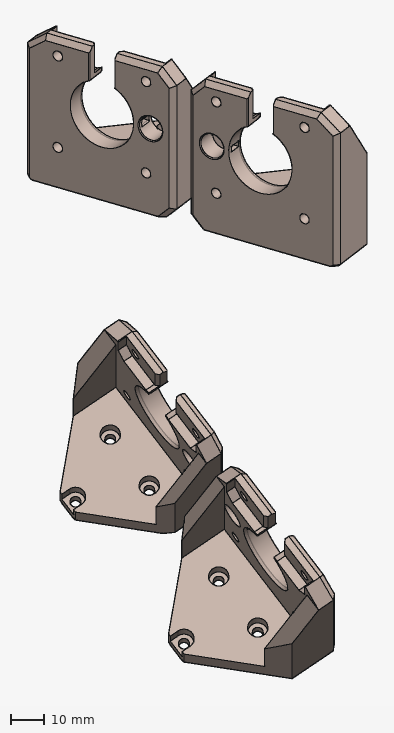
import cadquery as cq
import math

HEIGHT = 50.5
DEPTH = 40.0
PLAIN_SIDE = 27.1
ROD_SIDE = 25.3
GAP = 5.1

BASE_THICKNESS = 8.0
BASE_TIP_HALF_WIDTH = 4.0
SIDE_UNDER_CHAMFER = 0.9
FRONT_UNDER_CHAMFER = 0.3

PLATE_THICKNESS = 7.0
FRONT_CHAMFER = 1.6
CORNER = 5.1
LOWER_CORNER = 3.5
PLAIN_CORNER_WIDTH = 6.8

MOTOR_BAY_HALF_WIDTH = 21.2
WALL_DEPTH = 23.0
WALL_BACK_HEIGHT = 23.1

MOTOR_AXIS_Z = 29.3
MOTOR_HOLE_DIAMETER = 22.2
MOTOR_SCREW_SPACING = 31.0
SCREW_DIAMETER = 3.3
SLOT_WIDTH = 8.7
SLOT_FRONT_CHAMFER = 0.3
SLOT_BACK_CHAMFER = 1.0
FLARE_LENGTH = 1.1
FLARE_RISE = 0.2

RELIEF_FRONT = 4.0
RELIEF_BOTTOM_Z = 40.3
RELIEF_HALF_WIDTH = 20.0
RELIEF_CORNER = 3.0
RIM_DIAMETER = 24.8

ROD_OFFSET = 17.0
ROD_DIAMETER = 8.0
ROD_CHAMFER = 0.3

WINDOW_HEIGHT = 1.9
WINDOW_START_Y = 1.5
WINDOW_END_Y = 5.7
WINDOW_ROUND = 0.8

BASE_SCREW_SPACING = 20.0
BASE_SCREW_FIRST_Y = 17.1
BASE_HEAD_DIAMETER = 6.0
BASE_HEAD_DEPTH = 4.4


def cylinder_along_y(x, z, diameter, y_start, y_end):
    return cq.Workplane(cq.Solid.makeCylinder(
        diameter / 2, y_end - y_start, cq.Vector(x, y_start, z), cq.Vector(0, 1, 0)))


def cone_along_y(x, z, start_diameter, end_diameter, y_start, y_end):
    return cq.Workplane(cq.Solid.makeCone(
        start_diameter / 2, end_diameter / 2, y_end - y_start,
        cq.Vector(x, y_start, z), cq.Vector(0, 1, 0)))


def box(x0, x1, y0, y1, z0, z1):
    return cq.Workplane("XY").box(x1 - x0, y1 - y0, z1 - z0, centered=False).translate((x0, y0, z0))


def plan_body():
    """Base outline pulled up to full height, with its underside edge chamfered."""
    outline = [
        (-PLAIN_SIDE + FRONT_CHAMFER, 0),
        (ROD_SIDE - FRONT_CHAMFER, 0),
        (ROD_SIDE, FRONT_CHAMFER),
        (ROD_SIDE, DEPTH - (ROD_SIDE - BASE_TIP_HALF_WIDTH)),
        (BASE_TIP_HALF_WIDTH, DEPTH),
        (-BASE_TIP_HALF_WIDTH, DEPTH),
        (-PLAIN_SIDE, DEPTH - (PLAIN_SIDE - BASE_TIP_HALF_WIDTH)),
        (-PLAIN_SIDE, FRONT_CHAMFER),
    ]
    body = cq.Workplane("XY").polyline(outline).close().extrude(HEIGHT)
    body = body.faces("<Z").edges("not |X").chamfer(SIDE_UNDER_CHAMFER)
    return body.faces("<Z").edges("<Y").chamfer(FRONT_UNDER_CHAMFER)


def side_profile():
    """Base, side walls and plate, seen along X."""
    profile = [
        (0, 0),
        (DEPTH, 0),
        (DEPTH, BASE_THICKNESS),
        (WALL_DEPTH, BASE_THICKNESS),
        (WALL_DEPTH, WALL_BACK_HEIGHT),
        (PLATE_THICKNESS, HEIGHT - CORNER),
        (PLATE_THICKNESS, HEIGHT),
        (0, HEIGHT),
    ]
    return cq.Workplane("YZ").polyline(profile).close().extrude(2 * PLAIN_SIDE, both=True)


def front_outline():
    """Front outline with three cut corners and a chamfer around its front edge."""
    outline = [
        (-PLAIN_SIDE, 0),
        (ROD_SIDE - LOWER_CORNER, 0),
        (ROD_SIDE, LOWER_CORNER),
        (ROD_SIDE, HEIGHT - CORNER),
        (ROD_SIDE - CORNER, HEIGHT),
        (-PLAIN_SIDE + PLAIN_CORNER_WIDTH, HEIGHT),
        (-PLAIN_SIDE, HEIGHT - CORNER),
    ]
    block = cq.Workplane("XZ").polyline(outline).close().extrude(-DEPTH)
    return block.faces("<Y").edges("not <Z").chamfer(FRONT_CHAMFER)


def motor_bay():
    """Space for the motor, between the side walls and above the base."""
    return box(-MOTOR_BAY_HALF_WIDTH, MOTOR_BAY_HALF_WIDTH, PLATE_THICKNESS, DEPTH, BASE_THICKNESS, HEIGHT)


def rim():
    return cylinder_along_y(0, MOTOR_AXIS_Z, RIM_DIAMETER, 0, PLATE_THICKNESS)


def relief():
    """Recess behind the top of the plate, clear of the rim around the motor hole."""
    floor_half_width = RELIEF_HALF_WIDTH - RELIEF_CORNER
    outline = [
        (-floor_half_width, RELIEF_BOTTOM_Z),
        (floor_half_width, RELIEF_BOTTOM_Z),
        (RELIEF_HALF_WIDTH, RELIEF_BOTTOM_Z + RELIEF_CORNER),
        (RELIEF_HALF_WIDTH, HEIGHT),
        (-RELIEF_HALF_WIDTH, HEIGHT),
        (-RELIEF_HALF_WIDTH, RELIEF_BOTTOM_Z + RELIEF_CORNER),
    ]
    recess = cq.Workplane("XZ", origin=(0, RELIEF_FRONT, 0)).polyline(outline).close()
    recess = recess.extrude(RELIEF_FRONT - PLATE_THICKNESS)
    return recess.cut(rim())


def motor_opening():
    """Motor hole with its rear flare, and the slot that opens it upward."""
    hole = cylinder_along_y(0, MOTOR_AXIS_Z, MOTOR_HOLE_DIAMETER, 0, PLATE_THICKNESS)
    flare = cone_along_y(
        0, MOTOR_AXIS_Z, MOTOR_HOLE_DIAMETER, MOTOR_HOLE_DIAMETER + 2 * FLARE_RISE,
        PLATE_THICKNESS - FLARE_LENGTH, PLATE_THICKNESS)
    slot = box(-SLOT_WIDTH / 2, SLOT_WIDTH / 2, 0, PLATE_THICKNESS, MOTOR_AXIS_Z, HEIGHT)
    return hole.union(flare).union(slot)


def slot_chamfer(edge_y, size, depth, bottom_z):
    """Upright wedge wider than the slot by `size` each side at `edge_y`, as wide as it after `depth`."""
    half = SLOT_WIDTH / 2
    outline = [
        (-half - size, edge_y),
        (half + size, edge_y),
        (half, edge_y + depth),
        (-half, edge_y + depth),
    ]
    wedge = cq.Workplane("XY", origin=(0, 0, bottom_z)).polyline(outline).close()
    return wedge.extrude(HEIGHT - bottom_z)


def slot_chamfers():
    """Front chamfer down to the motor hole, and rear chamfer in the thin top of the plate."""
    slot_bottom_z = MOTOR_AXIS_Z + math.sqrt((MOTOR_HOLE_DIAMETER / 2) ** 2 - (SLOT_WIDTH / 2) ** 2)
    front = slot_chamfer(0, SLOT_FRONT_CHAMFER, SLOT_FRONT_CHAMFER, slot_bottom_z)
    rear = slot_chamfer(RELIEF_FRONT, SLOT_BACK_CHAMFER, -SLOT_BACK_CHAMFER, MOTOR_AXIS_Z)
    return front.union(rear.cut(rim()))


def motor_screw_holes():
    half = MOTOR_SCREW_SPACING / 2
    holes = cq.Workplane("XZ")
    for x in (-half, half):
        for z in (MOTOR_AXIS_Z - half, MOTOR_AXIS_Z + half):
            holes = holes.add(cylinder_along_y(x, z, SCREW_DIAMETER, 0, PLATE_THICKNESS))
    return holes.combine()


def rod_hole():
    hole = cylinder_along_y(ROD_OFFSET, MOTOR_AXIS_Z, ROD_DIAMETER, 0, DEPTH)
    lead_in = cone_along_y(
        ROD_OFFSET, MOTOR_AXIS_Z, ROD_DIAMETER + 2 * ROD_CHAMFER, ROD_DIAMETER, 0, ROD_CHAMFER)
    return hole.union(lead_in)


def rod_window():
    """Window joining the rod hole to the motor hole, rounded where it leaves the rod hole."""
    half = WINDOW_HEIGHT / 2
    wide_half = half + WINDOW_ROUND
    rod_edge_x = ROD_OFFSET - math.sqrt((ROD_DIAMETER / 2) ** 2 - wide_half ** 2)
    throat_x = rod_edge_x - WINDOW_ROUND
    end_x = MOTOR_HOLE_DIAMETER / 2 - WINDOW_ROUND
    window = (
        cq.Workplane("XZ", origin=(0, WINDOW_START_Y, MOTOR_AXIS_Z))
        .moveTo(end_x, -half)
        .lineTo(throat_x, -half)
        .tangentArcPoint((rod_edge_x, -wide_half), relative=False)
        .lineTo(ROD_OFFSET, -wide_half)
        .lineTo(ROD_OFFSET, wide_half)
        .lineTo(rod_edge_x, wide_half)
        .radiusArc((throat_x, half), WINDOW_ROUND)
        .lineTo(end_x, half)
        .close()
    )
    return window.extrude(WINDOW_START_Y - WINDOW_END_Y)


def base_screw_holes():
    """Three screw holes sunk into the base; the rear head seat runs out through the tip."""
    half = BASE_SCREW_SPACING / 2
    rear_y = BASE_SCREW_FIRST_Y + BASE_SCREW_SPACING
    places = [(-half, BASE_SCREW_FIRST_Y), (half, BASE_SCREW_FIRST_Y), (0, rear_y)]
    seat_z = BASE_THICKNESS - BASE_HEAD_DEPTH
    shanks = cq.Workplane("XY").pushPoints(places).circle(SCREW_DIAMETER / 2).extrude(BASE_THICKNESS)
    heads = cq.Workplane("XY", origin=(0, 0, seat_z)).pushPoints(places)
    heads = heads.circle(BASE_HEAD_DIAMETER / 2).extrude(BASE_HEAD_DEPTH)
    head_radius = BASE_HEAD_DIAMETER / 2
    run_out = box(-head_radius, head_radius, rear_y, DEPTH, seat_z, BASE_THICKNESS)
    return shanks.union(heads).union(run_out)


def motor_mount():
    mount = plan_body().intersect(side_profile()).intersect(front_outline())
    mount = mount.cut(motor_bay()).cut(relief()).cut(motor_opening()).cut(slot_chamfers())
    return mount.cut(motor_screw_holes()).cut(rod_hole()).cut(rod_window()).cut(base_screw_holes())


left_mount = motor_mount().translate((-ROD_SIDE - GAP / 2, 0, 0))
right_mount = left_mount.mirror("YZ")
result = cq.Compound.makeCompound([left_mount.val(), right_mount.val()])